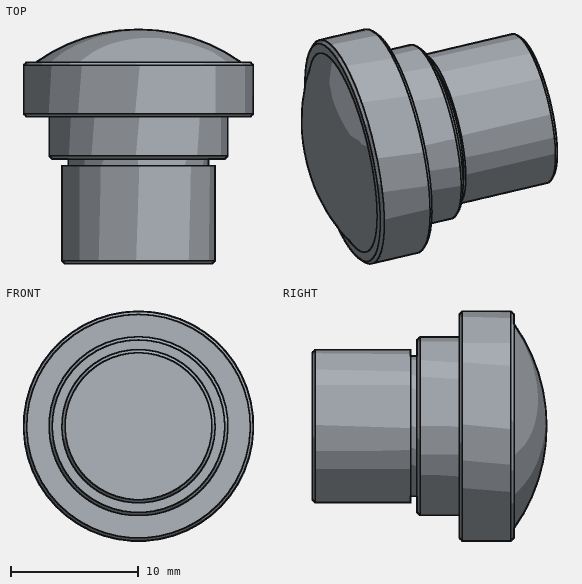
import cadquery as cq

head_diameter = 18.0
collar_diameter = 14.0
shank_diameter = 12.0
groove_diameter = 11.0
dome_base_diameter = 16.0

shank_length = 7.7
groove_width = 0.5
collar_length = 3.3
head_length = 4.3
total_length = 18.36
edge_chamfer = 0.25

head_bottom = 0.0
head_top = head_bottom + head_length
collar_end = head_bottom - collar_length
shank_top = collar_end - groove_width
shank_end = shank_top - shank_length
dome_top = shank_end + total_length

head_radius = head_diameter / 2
collar_radius = collar_diameter / 2
shank_radius = shank_diameter / 2
groove_radius = groove_diameter / 2
dome_base_radius = dome_base_diameter / 2

dome_height = dome_top - head_top
dome_radius = (dome_base_radius**2 + dome_height**2) / (2 * dome_height)
dome_center = dome_top - dome_radius
dome_mid_radius = dome_base_radius / 2
dome_mid_y = dome_center + (dome_radius**2 - dome_mid_radius**2) ** 0.5


def turned_profile():
    """Half section in the YZ plane (drawn as radius along Z), from the shank end up to the dome apex."""
    return (
        cq.Workplane("YZ")
        .moveTo(shank_end, 0)
        .lineTo(shank_end, shank_radius - edge_chamfer)
        .lineTo(shank_end + edge_chamfer, shank_radius)
        .lineTo(shank_top, shank_radius)
        .lineTo(shank_top, groove_radius)
        .lineTo(collar_end, groove_radius)
        .lineTo(collar_end, collar_radius - edge_chamfer)
        .lineTo(collar_end + edge_chamfer, collar_radius)
        .lineTo(head_bottom, collar_radius)
        .lineTo(head_bottom, head_radius - edge_chamfer)
        .lineTo(head_bottom + edge_chamfer, head_radius)
        .lineTo(head_top - edge_chamfer, head_radius)
        .lineTo(head_top, head_radius - edge_chamfer)
        .lineTo(head_top, dome_base_radius)
        .threePointArc((dome_mid_y, dome_mid_radius), (dome_top, 0))
        .close()
    )


result = turned_profile().revolve(360, (0, 0, 0), (1, 0, 0))